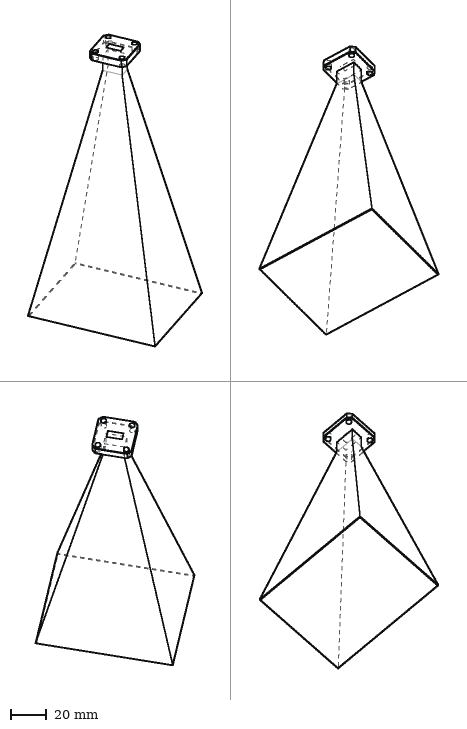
import cadquery as cq

total_height = 169.5
mouth_length = 78.7
mouth_width = 63.2
mouth_bevel = 0.3

flange_side = 22.7
flange_thickness = 4.7
flange_corner_chamfer = 2.2
flange_edge_chamfer = 0.25
hole_diameter = 3.0
hole_spacing_x = 16.3
hole_spacing_y = 17.0

window_length = 9.0
window_width = 4.2
window_depth = 0.08

neck_length = 12.0
neck_width = 7.1
neck_height = 9.8

flange_bottom = total_height - flange_thickness
horn_height = flange_bottom - neck_height


def make_frustum(bottom_size, top_size, bottom_z, top_z):
    """Rectangular frustum between two (length, width) sections."""
    return (
        cq.Workplane("XY")
        .workplane(offset=bottom_z)
        .rect(*bottom_size)
        .workplane(offset=top_z - bottom_z)
        .rect(*top_size)
        .loft(ruled=True)
    )


def make_horn():
    """Pyramidal horn with a small bevel around its mouth."""
    mouth = (mouth_length, mouth_width)
    bevelled_mouth = (mouth_length - 2 * mouth_bevel, mouth_width - 2 * mouth_bevel)
    neck = (neck_length, neck_width)
    bevel = make_frustum(bevelled_mouth, mouth, 0, mouth_bevel)
    return bevel.union(make_frustum(mouth, neck, mouth_bevel, horn_height))


def make_neck():
    """Straight solid rectangular section."""
    return (
        cq.Workplane("XY")
        .workplane(offset=horn_height)
        .rect(neck_length, neck_width)
        .extrude(neck_height)
    )


def make_flange():
    """Square plate with cut corners, four through holes and the window mark."""
    plate = (
        cq.Workplane("XY")
        .workplane(offset=flange_bottom)
        .rect(flange_side, flange_side)
        .extrude(flange_thickness)
        .edges("|Z")
        .chamfer(flange_corner_chamfer)
        .faces("<Z or >Z")
        .edges()
        .chamfer(flange_edge_chamfer)
    )
    plate = (
        plate.faces(">Z")
        .workplane()
        .rect(hole_spacing_x, hole_spacing_y, forConstruction=True)
        .vertices()
        .hole(hole_diameter)
    )
    return (
        plate.faces(">Z")
        .workplane()
        .rect(window_length, window_width)
        .cutBlind(-window_depth)
    )


result = make_horn().union(make_neck()).union(make_flange())